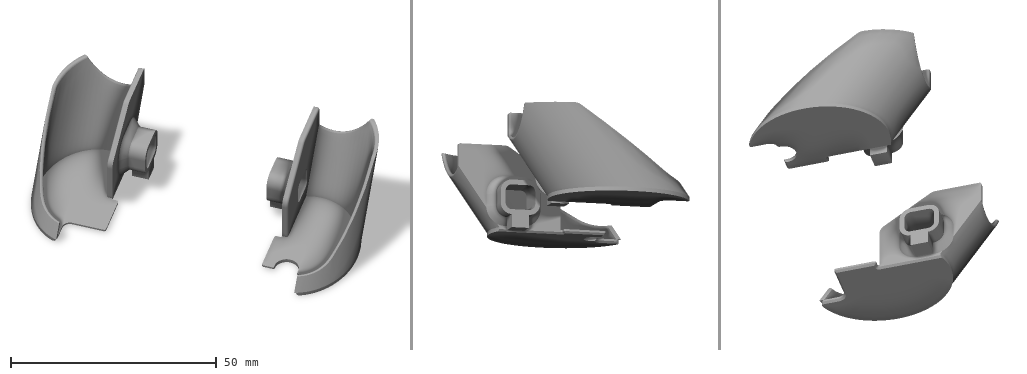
import cadquery as cq
import math

HALF_LENGTH = 41.1
HEIGHT = 21.2
BACK_Y = 21.9
WALL = 1.0
FLOOR = 1.0
RIM_FILLET = 0.5

WALL_RADIUS = 14.3
LEAN = math.radians(35.2)
AXIS_X = HALF_LENGTH - WALL_RADIUS
AXIS_Y = -4.8
TIP_X = 30.4
TIP_ROUND = 1.0

SLOPE_TOP_Y = 9.55
SLOPE = math.radians(33.2)
LIP_Z = 4.3
LIP_RADIUS = 14.8
CORNER_RADIUS = 2.5

PLATE_INNER_X = 21.6
PLATE_OUTER_X = PLATE_INNER_X + 1.5
PLATE_FRONT_Y = -3.95

TAB_INNER_X = 19.9
TAB_BACK_Y = -4.4
TAB_FRONT_Y = -15.0
TAB_CORNER = 0.5
TAB_FILLET = 2.0
TAB_BACK_FILLET = 0.3
TAB_CHAMFER = 0.5

SLOT_X = 26.0
SLOT_WIDTH = 6.0
SLOT_END_Y = -11.1

BOSS_END_X = 15.5
FLARE_X = 19.75
FLARE_GROWTH = PLATE_INNER_X - FLARE_X
BOSS_Y = 8.0
BOSS_Z = 7.5
BOSS_WIDTH = 9.95
BOSS_HEIGHT = 8.55
BOSS_CORNER = 2.8
BOSS_WALL = 1.2
BLOCK_WIDTH = BOSS_WIDTH - 2 * BOSS_CORNER

BIG = 164.6
TOLERANCE = 0.01


def box(x_range, y_range, z_range):
    """Box between pairs of limits."""
    spans = [high - low for low, high in (x_range, y_range, z_range)]
    corner = cq.Vector(x_range[0], y_range[0], z_range[0])
    return cq.Workplane(cq.Solid.makeBox(*spans, corner))


def nearest(x, y, z):
    """Selects the edge whose middle is nearest to a point."""
    return cq.selectors.NearestToPointSelector((x, y, z))


def leaning_cylinder(radius):
    """Long cylinder that leans back with height, its axis meeting the floor top at the wall centre."""
    direction = cq.Vector(0, math.sin(LEAN), math.cos(LEAN))
    base = cq.Vector(AXIS_X, AXIS_Y, FLOOR) - direction * (BIG / 2)
    return cq.Workplane(cq.Solid.makeCylinder(radius, BIG, base, direction))


def above_slope():
    """Space above the sloping rim, from the level top down to the level lip."""
    lip_y = SLOPE_TOP_Y - (HEIGHT - LIP_Z) / math.tan(SLOPE)
    outline = [
        (BIG, HEIGHT),
        (SLOPE_TOP_Y, HEIGHT),
        (lip_y, LIP_Z),
        (-BIG, LIP_Z),
        (-BIG, BIG),
        (BIG, BIG),
    ]
    space = cq.Workplane("YZ").polyline(outline).close().extrude(BIG)
    space = space.edges(nearest(BIG / 2, SLOPE_TOP_Y, HEIGHT)).fillet(CORNER_RADIUS)
    return space.edges(nearest(BIG / 2, lip_y, LIP_Z)).fillet(LIP_RADIUS)


def axis_distance(point):
    """Distance of a point from the leaning axis."""
    across = (point.y - AXIS_Y) * math.cos(LEAN) - (point.z - FLOOR) * math.sin(LEAN)
    return math.hypot(point.x - AXIS_X, across)


def is_wall_rim(edge):
    """True for an edge along the hollow side of the wall's free rim."""
    on_bore = all(
        abs(axis_distance(edge.positionAt(t)) - WALL_RADIUS + WALL) < TOLERANCE for t in (0, 0.5, 1)
    )
    middle = edge.positionAt(0.5)
    at_floor = middle.z < FLOOR + TOLERANCE
    at_plate = middle.x < PLATE_INNER_X + TOLERANCE
    at_tip = abs(middle.x - TIP_X) < TOLERANCE
    return on_bore and not (at_floor or at_plate or at_tip)


def curved_wall():
    """Thin leaning wall with its rim rounded on the hollow side."""
    wall = leaning_cylinder(WALL_RADIUS).cut(leaning_cylinder(WALL_RADIUS - WALL))
    wall = wall.intersect(box((PLATE_INNER_X, BIG), (-BIG, BACK_Y), (FLOOR, HEIGHT)))
    wall = wall.cut(box((0, TIP_X), (-BIG, AXIS_Y), (0, BIG)))
    wall = wall.cut(above_slope())
    return wall.edges().filter(is_wall_rim).fillet(RIM_FILLET)


def side_plate():
    """Flat plate that closes the hollow towards the boss."""
    plate = leaning_cylinder(WALL_RADIUS).intersect(
        box((PLATE_INNER_X, PLATE_OUTER_X), (PLATE_FRONT_Y, BACK_Y), (FLOOR, HEIGHT))
    )
    plate = plate.cut(above_slope())
    middle_x = (PLATE_INNER_X + PLATE_OUTER_X) / 2
    slope_foot = HEIGHT - (SLOPE_TOP_Y - PLATE_FRONT_Y) * math.tan(SLOPE)
    plate = plate.edges(nearest(middle_x, PLATE_FRONT_Y, slope_foot)).fillet(CORNER_RADIUS)
    plate = plate.edges(nearest(middle_x, BACK_Y, HEIGHT)).fillet(RIM_FILLET)
    front_edge = nearest(PLATE_OUTER_X, PLATE_FRONT_Y, slope_foot / 2)
    return plate.edges(front_edge).fillet(RIM_FILLET)


def guard_floor():
    """Oval floor with a tab, chamfered underneath along the tab and rounded at the tip."""
    half_depth = WALL_RADIUS / math.cos(LEAN)
    oval = cq.Workplane("XY").center(AXIS_X, AXIS_Y).ellipse(WALL_RADIUS, half_depth).extrude(FLOOR)
    oval = oval.intersect(box((PLATE_INNER_X, BIG), (-BIG, BIG), (0, FLOOR)))
    oval = oval.cut(box((0, TIP_X), (-BIG, TAB_FRONT_Y), (0, FLOOR)))
    tab = box((TAB_INNER_X, TIP_X), (TAB_FRONT_Y, TAB_BACK_Y), (0, FLOOR))
    tab = tab.edges("|Z and <X").fillet(TAB_CORNER)
    floor = oval.union(tab)
    floor = floor.edges(nearest(TIP_X, TAB_FRONT_Y, FLOOR / 2)).fillet(TAB_FILLET)
    floor = floor.edges(nearest(PLATE_INNER_X, TAB_BACK_Y, FLOOR / 2)).fillet(TAB_BACK_FILLET)
    tip_y = AXIS_Y - half_depth * math.sqrt(1 - ((TIP_X - AXIS_X) / WALL_RADIUS) ** 2)
    round_tip = floor.edges(nearest(TIP_X, tip_y, FLOOR / 2)).fillet(TIP_ROUND)
    tab_middle_y = (TAB_BACK_Y + TAB_FRONT_Y) / 2
    chamfered = floor.edges(nearest(TAB_INNER_X, tab_middle_y, 0)).chamfer(TAB_CHAMFER)
    return chamfered.intersect(round_tip)


def boss_prism(x, length, growth):
    """Rounded bar along X with the boss section, grown outwards all round."""
    section = (
        cq.Sketch()
        .rect(BOSS_WIDTH + 2 * growth, BOSS_HEIGHT + 2 * growth)
        .vertices()
        .fillet(BOSS_CORNER + growth)
    )
    return cq.Workplane("YZ", origin=(x, BOSS_Y, BOSS_Z)).placeSketch(section).extrude(length)


def boss():
    """Tube with a flare onto the plate and a support block below, before it is bored."""
    tube = boss_prism(BOSS_END_X, FLARE_X - BOSS_END_X, 0)
    small_end = tube.faces(">X").wires().val()
    large_end = boss_prism(PLATE_INNER_X, WALL, FLARE_GROWTH).faces("<X").wires().val()
    flare = cq.Workplane(cq.Solid.makeLoft([small_end, large_end], True))
    block_sides = (BOSS_Y - BLOCK_WIDTH / 2, BOSS_Y + BLOCK_WIDTH / 2)
    block = box((BOSS_END_X, FLARE_X), block_sides, (0, BOSS_Z))
    return tube.union(flare).union(block)


def guard():
    """One guard on the +X side, without the slot."""
    body = guard_floor().union(curved_wall()).union(side_plate()).union(boss())
    bore = boss_prism(BOSS_END_X, PLATE_OUTER_X - BOSS_END_X, -BOSS_WALL)
    return body.cut(bore)


def floor_slot():
    """Round-ended slot, open towards the front edge of the tab."""
    radius = SLOT_WIDTH / 2
    center_y = SLOT_END_Y - radius
    round_end = cq.Workplane("XY").center(SLOT_X, center_y).circle(radius).extrude(FLOOR)
    mouth = box((SLOT_X - radius, SLOT_X + radius), (center_y - SLOT_WIDTH, center_y), (0, FLOOR))
    return round_end.union(mouth)


left_guard = guard().mirror("YZ")
right_guard = guard().cut(floor_slot())
result = cq.Compound.makeCompound([left_guard.val(), right_guard.val()])